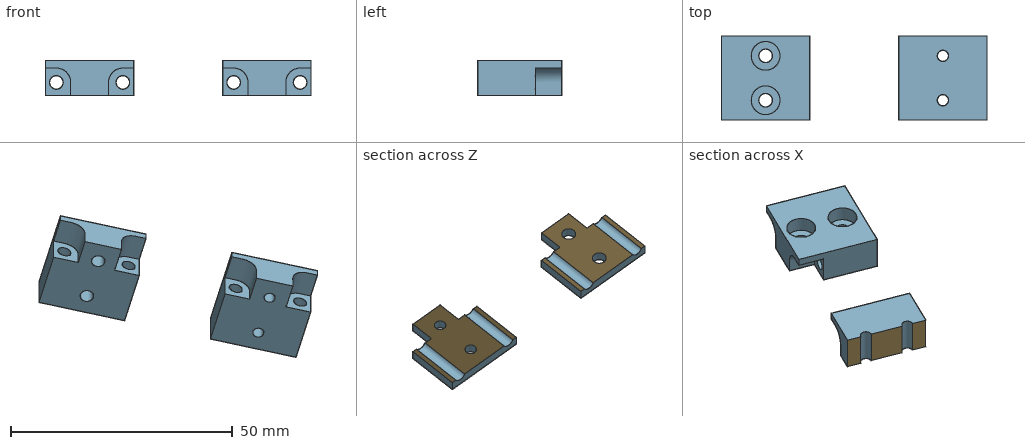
import cadquery as cq

total_length = 60.0
block_length = total_length / 3
block_width = 19.0
block_height = 8.0
block_spacing = total_length - block_length

side_screw_spacing = 15.0
side_screw_height = 3.0
screw_clearance_diameter = 3.0
screw_head_diameter = 6.5
head_relief_depth = 6.0

clamp_screw_spacing = 10.0
clamp_thread_diameter = 2.45
counterbore_depth = 3.5


def head_relief():
    """Corner cutter around the right-hand side screw, rounded about its axis."""
    screw_x = side_screw_spacing / 2
    radius = screw_head_diameter / 2
    outer_x = block_length / 2
    relief_top = side_screw_height + radius
    return (
        cq.Workplane("XZ", origin=(0, -block_width / 2, 0))
        .moveTo(screw_x - radius, 0)
        .lineTo(screw_x - radius, side_screw_height)
        .radiusArc((screw_x, relief_top), radius)
        .lineTo(outer_x, relief_top)
        .lineTo(outer_x, 0)
        .close()
        .extrude(-head_relief_depth)
    )


def base_block():
    """Block centred in X and Y with both side screw holes and their reliefs."""
    block = cq.Workplane("XY").box(
        block_length, block_width, block_height, centered=(True, True, False)
    )
    relief = head_relief()
    block = block.cut(relief).cut(relief.mirror("YZ"))
    side_holes = (
        cq.Workplane("XZ", origin=(0, -block_width / 2, side_screw_height))
        .rarray(side_screw_spacing, 0.6, 2, 1)
        .circle(screw_clearance_diameter / 2)
        .extrude(-block_width)
    )
    return block.cut(side_holes)


def clamp_positions(block):
    """Vertical screw positions on the top face of a block."""
    return (
        block.faces(">Z")
        .workplane(origin=(0, 0, block_height))
        .rarray(0.6, clamp_screw_spacing, 1, 2)
    )


def make_counterbored_block():
    """Block that takes the heads of the vertical screws."""
    return clamp_positions(base_block()).cboreHole(
        screw_clearance_diameter, screw_head_diameter, counterbore_depth
    )


def make_threaded_block():
    """Block with the smaller thread holes for the vertical screws."""
    return clamp_positions(base_block()).hole(clamp_thread_diameter)


counterbored_block = make_counterbored_block().translate((-block_spacing / 2, 0, 0))
threaded_block = make_threaded_block().translate((block_spacing / 2, 0, 0))

result = cq.Compound.makeCompound([counterbored_block.val(), threaded_block.val()])